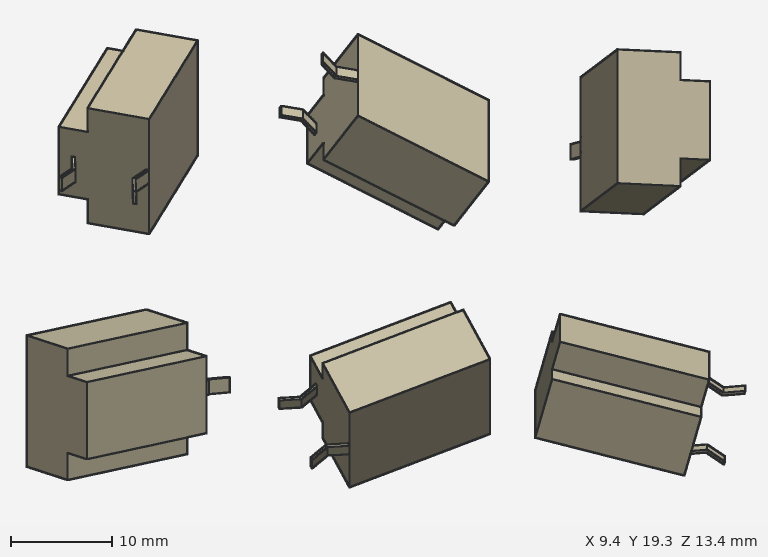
import cadquery as cq

total_width = 9.4
total_length = 19.3
total_height = 13.45

pin_length = 4.05
housing_length = total_length - pin_length
step_depth = 3.0
step_height = 7.9

pin_height = 1.52
pin_thickness = 0.33
pin_bend = 0.75
left_pin_x = 1.35
right_pin_x = total_width - pin_thickness


def block(x_start, x_end, height):
    """Full-length housing block, centred on Z = 0, with its front face at Y = 0."""
    return (
        cq.Workplane("XY")
        .box(x_end - x_start, housing_length, height, centered=(False, False, True))
        .translate((x_start, 0, 0))
    )


def bent_pin(root_x, bend):
    """V-shaped strip leaving the front face; bend is the X shift of its middle."""
    middle_y = -pin_length / 2
    outline = [
        (root_x, 0),
        (root_x + bend, middle_y),
        (root_x, -pin_length),
        (root_x + pin_thickness, -pin_length),
        (root_x + pin_thickness + bend, middle_y),
        (root_x + pin_thickness, 0),
    ]
    return cq.Workplane("XY").polyline(outline).close().extrude(pin_height / 2, both=True)


housing = block(step_depth, total_width, total_height).union(block(0, total_width, step_height))

left_pin = bent_pin(left_pin_x, pin_bend)
right_pin = bent_pin(right_pin_x, -pin_bend)

result = housing.union(left_pin).union(right_pin)